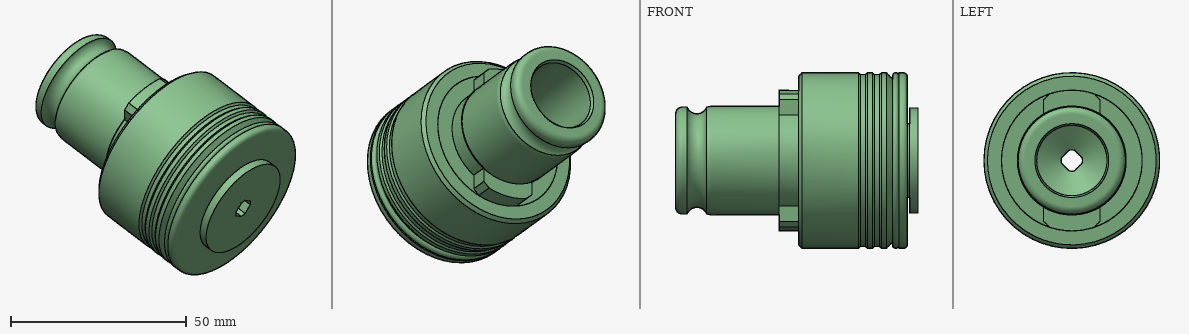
import cadquery as cq
import math

total_length = 69.0

rim_radius = 30.5 / 2
rim_rounding = 2.0
groove_arc_radius = 3.0
groove_center_x = 6.1
groove_bottom_radius = 13.35
shank_radius = 31.0 / 2
shank_taper_start_x = 9.0
shank_taper_end_x = 10.1
shank_end_x = 29.5
neck_radius = 30.5 / 2

lug_tip_radius = 40.0 / 2
lug_width = 16.0
lug_corner_chamfer = 2.7

collar_radius = 50.0 / 2
collar_front_x = 35.0
collar_back_x = 66.0
collar_chamfer = 1.0
collar_back_rounding = 1.2
relief_outer_radius = 40.1 / 2
relief_depth = 1.0

marking_groove_radius = 49.0 / 2
marking_groove_first_x = 52.0
marking_groove_pitch = 4.0
marking_groove_count = 2
marking_flank_length = 0.65
marking_floor_length = 1.35

seal_section_radius = 1.78 / 2
seal_seat_radius = 46.5 / 2

rear_neck_radius = 21.0 / 2
flange_radius = 30.0 / 2
flange_thickness = 2.4

bore_radius = 20.0 / 2
bore_mouth_radius = 21.0 / 2
bore_mouth_depth = 1.0
bore_depth = 30.0
bore_tip_angle = 118.0
square_size = 5.2
square_corner_radius = 6.0 / 2

groove_center_radius = groove_bottom_radius + groove_arc_radius
groove_half_width = math.sqrt(groove_arc_radius**2 - (groove_center_radius - rim_radius) ** 2)
seal_slope_start_x = marking_groove_first_x + marking_groove_count * marking_groove_pitch
seal_slope_length = collar_radius - seal_seat_radius
seal_seat_front_x = seal_slope_start_x + seal_slope_length
seal_center_x = seal_seat_front_x + seal_section_radius
seal_seat_back_x = seal_seat_front_x + 2 * seal_section_radius
flange_front_x = total_length - flange_thickness


def revolve_about_x(profile):
    """Turn a closed XY profile fully about the X axis."""
    return profile.close().revolve(360, (0, 0, 0), (1, 0, 0))


def cylinder_x(radius, start_x, end_x):
    """Solid cylinder along X between two stations."""
    return cq.Workplane("YZ", origin=(start_x, 0, 0)).circle(radius).extrude(end_x - start_x)


def make_spigot():
    """Rim, hand groove, shank and neck, running into the collar."""
    rounding_middle = rim_rounding * (1 - math.sqrt(0.5))
    profile = (
        cq.Workplane("XY")
        .lineTo(0, rim_radius - rim_rounding)
        .threePointArc((rounding_middle, rim_radius - rounding_middle), (rim_rounding, rim_radius))
        .lineTo(groove_center_x - groove_half_width, rim_radius)
        .threePointArc(
            (groove_center_x, groove_bottom_radius),
            (groove_center_x + groove_half_width, rim_radius),
        )
        .lineTo(shank_taper_start_x, rim_radius)
        .lineTo(shank_taper_end_x, shank_radius)
        .lineTo(shank_end_x, shank_radius)
        .lineTo(shank_end_x, neck_radius)
        .lineTo(collar_front_x, neck_radius)
        .lineTo(collar_front_x, 0)
    )
    return revolve_about_x(profile)


def make_lugs():
    """Two opposite lugs in +Z and -Z: a bar with chamfered corners, trimmed round at the tips."""
    lug_length = collar_front_x - shank_end_x
    bar = (
        cq.Workplane("YZ", origin=(shank_end_x, 0, 0))
        .rect(lug_width, 2 * lug_tip_radius)
        .extrude(lug_length)
        .edges("|X")
        .chamfer(lug_corner_chamfer)
    )
    return bar.intersect(cylinder_x(lug_tip_radius, shank_end_x, collar_front_x))


def make_collar():
    """Collar with marking grooves, a sloped O-ring seat and a rounded back edge."""
    profile = (
        cq.Workplane("XY")
        .moveTo(collar_front_x, 0)
        .lineTo(collar_front_x, collar_radius - collar_chamfer)
        .lineTo(collar_front_x + collar_chamfer, collar_radius)
    )
    for index in range(marking_groove_count):
        start_x = marking_groove_first_x + index * marking_groove_pitch
        floor_start_x = start_x + marking_flank_length
        floor_end_x = floor_start_x + marking_floor_length
        profile = (
            profile.lineTo(start_x, collar_radius)
            .lineTo(floor_start_x, marking_groove_radius)
            .lineTo(floor_end_x, marking_groove_radius)
            .lineTo(floor_end_x + marking_flank_length, collar_radius)
        )
    rounding_middle = collar_back_rounding * (1 - math.sqrt(0.5))
    profile = (
        profile.lineTo(seal_slope_start_x, collar_radius)
        .lineTo(seal_seat_front_x, seal_seat_radius)
        .lineTo(seal_seat_back_x, seal_seat_radius)
        .lineTo(seal_seat_back_x, collar_radius)
        .lineTo(collar_back_x - collar_back_rounding, collar_radius)
        .threePointArc(
            (collar_back_x - rounding_middle, collar_radius - rounding_middle),
            (collar_back_x, collar_radius - collar_back_rounding),
        )
        .lineTo(collar_back_x, 0)
    )
    return revolve_about_x(profile)


def make_front_relief():
    """Hairline ring cut into the collar's front face, just outside the lug tips."""
    relief_end_x = collar_front_x + relief_depth
    outer = cylinder_x(relief_outer_radius, collar_front_x, relief_end_x)
    return outer.cut(cylinder_x(lug_tip_radius, collar_front_x, relief_end_x))


def make_rear_flange():
    """Flange standing clear of the collar on a smaller neck."""
    neck = cylinder_x(rear_neck_radius, collar_back_x, flange_front_x)
    return neck.union(cylinder_x(flange_radius, flange_front_x, total_length))


def make_bore():
    """Front bore with a chamfered mouth and a conical bottom."""
    tip_depth = bore_radius / math.tan(math.radians(bore_tip_angle / 2))
    profile = (
        cq.Workplane("XY")
        .lineTo(0, bore_mouth_radius)
        .lineTo(bore_mouth_depth, bore_radius)
        .lineTo(bore_depth, bore_radius)
        .lineTo(bore_depth + tip_depth, 0)
    )
    return revolve_about_x(profile)


def make_square_hole():
    """Square drive hole standing on its corner, with its corners cut round, open at the back."""
    hole_length = total_length - bore_depth
    square = (
        cq.Workplane("YZ", origin=(bore_depth, 0, 0))
        .transformed(rotate=(0, 0, 45))
        .rect(square_size, square_size)
        .extrude(hole_length)
    )
    return square.intersect(cylinder_x(square_corner_radius, bore_depth, total_length))


def make_adapter():
    """The whole turned adapter."""
    outside = make_spigot().union(make_lugs()).union(make_collar()).union(make_rear_flange())
    return outside.cut(make_front_relief()).cut(make_bore()).cut(make_square_hole())


def make_seal_ring():
    """O-ring resting on the seat floor and against the seat's back wall."""
    ring_radius = seal_seat_radius + seal_section_radius
    section = cq.Workplane("XY").center(seal_center_x, ring_radius).circle(seal_section_radius)
    return section.revolve(360, (0, -ring_radius, 0), (1, -ring_radius, 0))


adapter = make_adapter()
seal_ring = make_seal_ring()

result = cq.Compound.makeCompound([adapter.val(), seal_ring.val()])